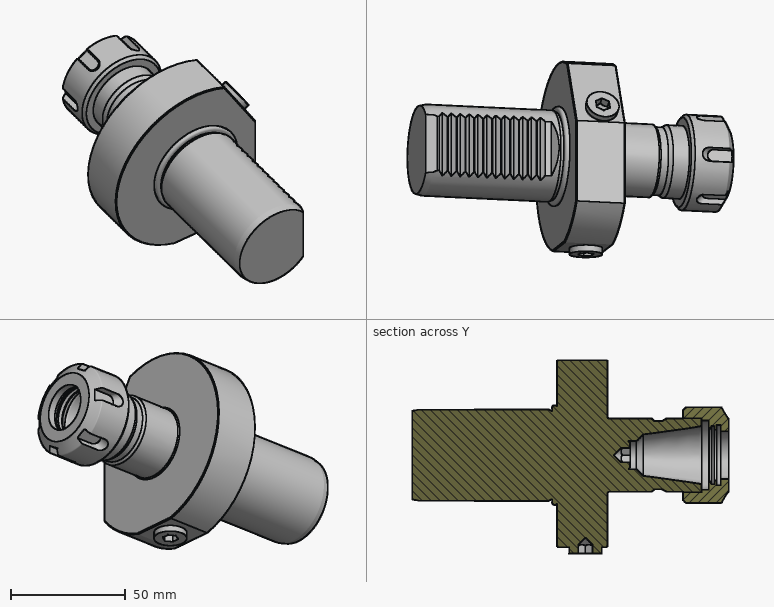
import cadquery as cq
import math

TOTAL_LENGTH = 138.0

NUT_LENGTH = 20.0
NUT_RADIUS = 21.0
NUT_FACE_RADIUS = 15.7
NUT_FRONT_BEVEL = 3.2
NUT_REAR_CHAMFER = 1.4
NUT_MOUTH_RADIUS = 10.4
NUT_LIP_LENGTH = 3.6
NUT_FRONT_GROOVE_RADIUS = 13.1
NUT_LAND_RADIUS = 11.0
NUT_LAND_START = 5.2
NUT_LAND_END = 6.3
NUT_REAR_GROOVE_RADIUS = 12.7
NUT_REAR_GROOVE_END = 7.5
NUT_RING_START = 8.4
NUT_RING_END = 8.8
NUT_RELIEF_RADIUS = 15.0
NUT_BEVEL_FILLET = 0.7

SLOT_COUNT = 6
SLOT_FLOOR_WIDTH = 5.2
SLOT_WALL_DRAFT = 8.5
SLOT_FLOOR_RADIUS = 18.0
SLOT_FLOOR_END = 12.3

NOSE_X = 11.9
NECK_RADIUS = 16.0
GROOVE_RADIUS = 14.9
GROOVE_FRONT_X = 27.2
GROOVE_FLOOR_FRONT_X = 29.1
GROOVE_FLOOR_REAR_X = 32.4
GROOVE_REAR_X = GROOVE_FLOOR_REAR_X + NECK_RADIUS - GROOVE_RADIUS
NECK_FLARE = 0.5

FLANGE_FRONT_X = 52.9
FLANGE_REAR_X = 75.0
FLANGE_RADIUS = 41.5
FLANGE_CHAMFER = 0.4
SIDE_FLAT_DISTANCE = 32.4
TILTED_FLAT_DISTANCE = 33.0
TILTED_FLAT_ANGLE = 30.0
BOTTOM_FLAT_DISTANCE = 40.2

NOZZLE_X = 62.5
NOZZLE_RADIUS = 7.2
NOZZLE_HEIGHT = 2.8

SEAL_RADIUS = 21.8
SEAL_THICKNESS = 2.5
SEAL_WIDTH = 2.2
SEAL_REAR_X = FLANGE_REAR_X + SEAL_WIDTH
UNDERCUT_RADIUS = 19.3
SHANK_START_X = 78.7

SHANK_RADIUS = 20.0
SHANK_END_RADIUS = 19.3
SHANK_END_CHAMFER = 3.0
FLAT_Y = NECK_RADIUS
FLAT_RAMP_TOP_X = 79.5
FLAT_START_X = 82.0
TOOTH_COUNT = 12
TOOTH_PITCH = 4.0
TOOTH_DEPTH = 1.7
TOOTH_HALF_WIDTH = 1.8
FIRST_TOOTH_X = 86.5
FLAT_BEVEL_X = 133.2

SOCKET_MOUTH_RADIUS = 12.4
SOCKET_MOUTH_CHAMFER = 0.4
SOCKET_CHAMFER_LENGTH = 1.0
SOCKET_END_RADIUS = 9.0
SOCKET_HALF_ANGLE = 8.0
SCREW_RADIUS = 6.1
SCREW_FACE_RADIUS = 5.4
SCREW_SETBACK = 2.8

HEX_ACROSS_FLATS = 6.1
HEX_DEPTH = 3.5
HEX_CORNER_RADIUS = HEX_ACROSS_FLATS / math.sqrt(3)


def turned(points):
    """Solid of revolution about X from (x, radius) points; the outline closes itself."""
    return cq.Workplane("XY").polyline(points).close().revolve(360, (0, 0, 0), (1, 0, 0))


def hex_socket(plane):
    """Hexagonal pocket with a conical bottom, sunk from the plane against its normal."""
    tip_start = plane.origin - plane.zDir * HEX_DEPTH
    tip = cq.Solid.makeCone(HEX_CORNER_RADIUS, 0, HEX_CORNER_RADIUS, tip_start, plane.zDir * -1)
    prism = cq.Workplane(plane).polygon(6, 2 * HEX_CORNER_RADIUS).extrude(-HEX_DEPTH - HEX_CORNER_RADIUS)
    pointed = (
        cq.Workplane(plane).circle(HEX_CORNER_RADIUS).extrude(-HEX_DEPTH)
        .union(cq.Workplane(tip))
    )
    return prism.intersect(pointed)


def slot_outline(radius, half_width, end_x):
    """Closed outline of a wrench slot at a height above the axis, open toward the front."""
    front_x = -NUT_LENGTH
    straight_end = end_x - half_width
    return (
        cq.Workplane("XY", origin=(0, 0, radius))
        .moveTo(front_x, -half_width)
        .lineTo(straight_end, -half_width)
        .threePointArc((end_x, 0), (straight_end, half_width))
        .lineTo(front_x, half_width)
        .close()
        .val()
    )


def wrench_slot():
    """Slot on the +Z side of the nut, widening outward, its round end leaning back at 45 degrees."""
    height = 2 * (NUT_RADIUS - SLOT_FLOOR_RADIUS)
    top_half_width = SLOT_FLOOR_WIDTH / 2 + height * math.tan(math.radians(SLOT_WALL_DRAFT))
    floor = slot_outline(SLOT_FLOOR_RADIUS, SLOT_FLOOR_WIDTH / 2, SLOT_FLOOR_END)
    top = slot_outline(SLOT_FLOOR_RADIUS + height, top_half_width, SLOT_FLOOR_END + height)
    return cq.Workplane(cq.Solid.makeLoft([floor, top], True))


def make_nut():
    nut = turned([
        (0, NUT_MOUTH_RADIUS),
        (0, NUT_FACE_RADIUS),
        (NUT_FRONT_BEVEL, NUT_RADIUS),
        (NUT_LENGTH - NUT_REAR_CHAMFER, NUT_RADIUS),
        (NUT_LENGTH, NUT_RADIUS - NUT_REAR_CHAMFER),
        (NUT_LENGTH, NECK_RADIUS),
        (NOSE_X, NECK_RADIUS),
        (NOSE_X, NUT_RELIEF_RADIUS),
        (NUT_RING_END, NUT_RELIEF_RADIUS),
        (NUT_RING_END, NUT_LAND_RADIUS),
        (NUT_RING_START, NUT_LAND_RADIUS),
        (NUT_REAR_GROOVE_END, NUT_REAR_GROOVE_RADIUS),
        (NUT_LAND_END, NUT_REAR_GROOVE_RADIUS),
        (NUT_LAND_END, NUT_LAND_RADIUS),
        (NUT_LAND_START, NUT_LAND_RADIUS),
        (NUT_LAND_START, NUT_FRONT_GROOVE_RADIUS),
        (NUT_LIP_LENGTH, NUT_FRONT_GROOVE_RADIUS),
        (NUT_LIP_LENGTH, NUT_MOUTH_RADIUS),
    ])
    front_edge = nut.edges(cq.selectors.RadiusNthSelector(-1)).edges("<X")
    nut = front_edge.fillet(NUT_BEVEL_FILLET)
    slot = wrench_slot()
    for index in range(SLOT_COUNT):
        angle = 90 + index * 360 / SLOT_COUNT
        nut = nut.cut(slot.rotate((0, 0, 0), (1, 0, 0), angle))
    return nut


def make_neck():
    return turned([
        (NOSE_X, 0),
        (NOSE_X, NECK_RADIUS),
        (GROOVE_FRONT_X, NECK_RADIUS),
        (GROOVE_FLOOR_FRONT_X, GROOVE_RADIUS),
        (GROOVE_FLOOR_REAR_X, GROOVE_RADIUS),
        (GROOVE_REAR_X, NECK_RADIUS),
        (FLANGE_FRONT_X - NECK_FLARE, NECK_RADIUS),
        (FLANGE_FRONT_X, NECK_RADIUS + NECK_FLARE),
        (FLANGE_FRONT_X, 0),
    ])


def flat_plane(angle, distance):
    """Plane facing outward at an angle above +Y, centred on the nozzles along X."""
    tilt = math.radians(angle)
    normal = cq.Vector(0, math.cos(tilt), math.sin(tilt))
    return cq.Plane(origin=cq.Vector(NOZZLE_X, 0, 0) + normal * distance, xDir=(1, 0, 0), normal=normal)


SIDE_FLAT = flat_plane(0, SIDE_FLAT_DISTANCE)
TILTED_FLAT = flat_plane(TILTED_FLAT_ANGLE, TILTED_FLAT_DISTANCE)
BOTTOM_FLAT = flat_plane(-90, BOTTOM_FLAT_DISTANCE)


def make_flange():
    flange = (
        cq.Workplane("YZ", origin=(FLANGE_FRONT_X, 0, 0))
        .circle(FLANGE_RADIUS)
        .extrude(FLANGE_REAR_X - FLANGE_FRONT_X)
    )
    cutter_size = 4 * FLANGE_RADIUS
    for plane in (SIDE_FLAT, TILTED_FLAT, BOTTOM_FLAT):
        flange = flange.cut(cq.Workplane(plane).rect(cutter_size, cutter_size).extrude(FLANGE_RADIUS))
    return flange.faces("<X or >X").chamfer(FLANGE_CHAMFER)


def make_nozzle(flat):
    return cq.Workplane(flat).circle(NOZZLE_RADIUS).extrude(NOZZLE_HEIGHT)


def make_seal_ring():
    """Ring of round section, set partly into the flange."""
    core_radius = SEAL_RADIUS - SEAL_THICKNESS / 2
    core_x = SEAL_REAR_X - SEAL_THICKNESS / 2
    rim_height = math.sqrt((SEAL_THICKNESS / 2) ** 2 - (core_x - FLANGE_REAR_X) ** 2)
    return (
        cq.Workplane("XY")
        .moveTo(FLANGE_REAR_X, 0)
        .lineTo(FLANGE_REAR_X, core_radius + rim_height)
        .threePointArc((core_x, SEAL_RADIUS), (SEAL_REAR_X, core_radius))
        .lineTo(SEAL_REAR_X, 0)
        .close()
        .revolve(360, (0, 0, 0), (1, 0, 0))
    )


def make_shank():
    shank = turned([
        (FLANGE_REAR_X, 0),
        (FLANGE_REAR_X, UNDERCUT_RADIUS),
        (SEAL_REAR_X, UNDERCUT_RADIUS),
        (SHANK_START_X, SHANK_RADIUS),
        (TOTAL_LENGTH - SHANK_END_CHAMFER, SHANK_RADIUS),
        (TOTAL_LENGTH, SHANK_END_RADIUS),
        (TOTAL_LENGTH, 0),
    ])
    ramp_slope = (FLAT_START_X - FLAT_RAMP_TOP_X) / (SHANK_RADIUS - FLAT_Y)
    cutter_top = 2 * SHANK_RADIUS
    points = [
        (FLAT_START_X - ramp_slope * (cutter_top - FLAT_Y), cutter_top),
        (FLAT_START_X, FLAT_Y),
    ]
    for index in range(TOOTH_COUNT):
        valley_x = FIRST_TOOTH_X + index * TOOTH_PITCH
        points += [
            (valley_x - TOOTH_HALF_WIDTH, FLAT_Y),
            (valley_x, FLAT_Y - TOOTH_DEPTH),
            (valley_x + TOOTH_HALF_WIDTH, FLAT_Y),
        ]
    points += [
        (FLAT_BEVEL_X, FLAT_Y),
        (TOTAL_LENGTH, FLAT_Y - TOOTH_DEPTH),
        (TOTAL_LENGTH, cutter_top),
    ]
    cutter = cq.Workplane("XY").polyline(points).close().extrude(SHANK_RADIUS, both=True)
    return shank.cut(cutter)


def collet_socket():
    """Tapered socket that ends on the chamfered head of the stop screw."""
    taper_start_x = NOSE_X + SOCKET_CHAMFER_LENGTH
    taper_length = (SOCKET_MOUTH_RADIUS - SOCKET_END_RADIUS) / math.tan(math.radians(SOCKET_HALF_ANGLE))
    taper_end_x = taper_start_x + taper_length
    bore_x = taper_end_x + SOCKET_END_RADIUS - SCREW_RADIUS
    screw_x = bore_x + SCREW_SETBACK
    socket = turned([
        (NOSE_X, 0),
        (NOSE_X, SOCKET_MOUTH_RADIUS + SOCKET_MOUTH_CHAMFER),
        (taper_start_x, SOCKET_MOUTH_RADIUS),
        (taper_end_x, SOCKET_END_RADIUS),
        (bore_x, SCREW_RADIUS),
        (screw_x + SCREW_RADIUS - SCREW_FACE_RADIUS, SCREW_RADIUS),
        (screw_x, SCREW_FACE_RADIUS),
        (screw_x, 0),
    ])
    return socket.union(hex_socket(cq.Plane(origin=(screw_x, 0, 0), xDir=(0, 1, 0), normal=(-1, 0, 0))))


def make_holder():
    holder = make_neck().union(make_flange()).union(make_seal_ring()).union(make_shank())
    for flat in (TILTED_FLAT, BOTTOM_FLAT):
        holder = holder.union(make_nozzle(flat))
        nozzle_face = flat.origin + flat.zDir * NOZZLE_HEIGHT
        holder = holder.cut(hex_socket(cq.Plane(nozzle_face, flat.yDir, flat.zDir)))
    return holder.cut(collet_socket())


nut = make_nut()
holder = make_holder()

result = cq.Compound.makeCompound([nut.val(), holder.val()])